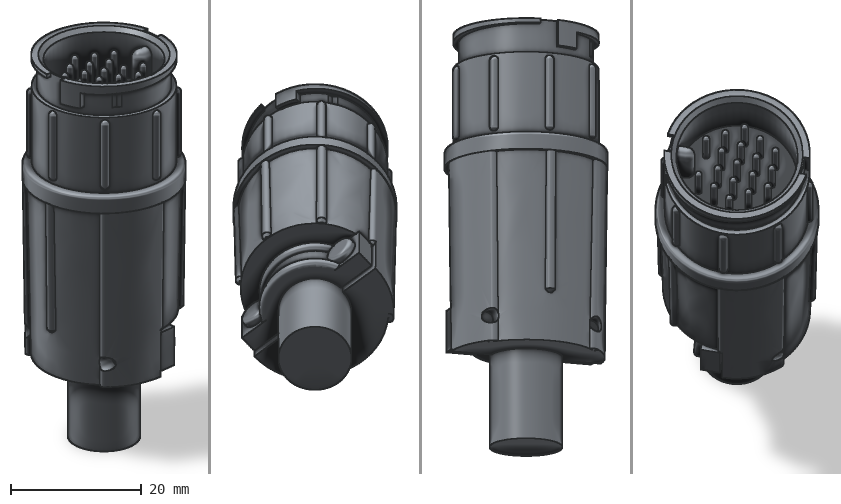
import cadquery as cq
import math

front_shell_bottom = 14.15
back_shell_bottom = 21.7
collar_bottom = 44.0
collar_top = 46.8
sleeve_top = 59.65
total_height = 65.0

cable_radius = 5.6
collar_radius = 12.55
collar_edge_round = 0.5
sleeve_radius = 11.1
neck_radius = 10.3
flange_radius = 11.2

rib_count = 8
rib_pitch = 360 / rib_count
sleeve_rib_radius = 0.7
sleeve_rib_bottom = 47.4
sleeve_rib_top = 59.25
grip_rib_radius = 0.8
grip_rib_end_chamfer = 0.5

base_radius_top = 11.8
base_radius_bottom = 11.25
raised_radius_top = 12.5
raised_radius_bottom = 12.1

flange_depth_thin = 0.65
flange_depth_thick = 1.5
gap_half_width = 1.4
stop_width = 3.3
stop_bottom = 60.95
detent_depth = 0.2
detent_start_angle = -38.7
detent_deep_angle = -34.8
detent_end_angle = -30.5

socket_radius = 9.3
lead_in_width = 0.8
lead_in_depth = 0.7
socket_floor = 56.7
pin_radius = 0.5
pin_pitch = 3.1
pin_row_pitch = pin_pitch * math.sin(math.radians(60))
pin_tip = 62.7
key_radius = 1.25
key_center = 7.85
key_tip = 63.1

clamp_bottom = 14.8
clamp_top = 21.4
clamp_radius = 7.65
clamp_half_width = 11.7
clamp_ear_start = 0.45
clamp_ear_end = 3.45
clamp_lip_radius = 0.85
screw_spacing = 17.0
screw_hole_radius = 1.2
screw_hole_floor = -5.85
screw_head_radius = 2.4
screw_head_height = 1.3
screw_head_round = 0.65
screw_height = (clamp_bottom + clamp_top) / 2

far = 32.5


def cylinder(radius, bottom, top):
    return cq.Workplane("XY").workplane(offset=bottom).circle(radius).extrude(top - bottom)


def domed_bar(radius, bottom, tip):
    """Upright round bar with a hemispherical top."""
    shoulder = tip - radius
    dome = cq.Workplane("XY").sphere(radius).translate((0, 0, shoulder))
    return cylinder(radius, bottom, shoulder).union(dome)


def box(x_start, x_end, y_start, y_end, bottom, top):
    size = (x_end - x_start, y_end - y_start, top - bottom)
    return cq.Workplane("XY").box(*size, centered=False).translate((x_start, y_start, bottom))


def at_angle(shape, angle):
    return shape.rotate((0, 0, 0), (0, 0, 1), angle)


def polar(radius, angle):
    return (radius * math.cos(math.radians(angle)), radius * math.sin(math.radians(angle)))


def shell_height_fraction(height):
    return (height - front_shell_bottom) / (collar_bottom - front_shell_bottom)


def raised_radius(height):
    return raised_radius_bottom + (raised_radius_top - raised_radius_bottom) * shell_height_fraction(height)


def tapered_body(bottom_radius, top_radius):
    height = collar_bottom - front_shell_bottom
    cone = cq.Solid.makeCone(bottom_radius, top_radius, height, cq.Vector(0, 0, front_shell_bottom))
    return cq.Workplane(cone)


def raised_sector(start_angle):
    """Raised surface spanning one rib pitch from the start angle."""
    corners = [(0, 0), polar(far, start_angle), polar(far, start_angle + rib_pitch)]
    wedge = cq.Workplane("XY").polyline(corners).close().extrude(total_height)
    return tapered_body(raised_radius_bottom, raised_radius_top).intersect(wedge)


def grip_rib(angle, bottom):
    """Round rib leaning with the shell taper, its crest level with the raised surface."""
    foot = cq.Vector(raised_radius(bottom) - grip_rib_radius, 0, bottom)
    head = cq.Vector(raised_radius(collar_bottom) - grip_rib_radius, 0, collar_bottom)
    rib = cq.Solid.makeCylinder(grip_rib_radius, (head - foot).Length, foot, head - foot)
    rib = cq.Workplane(rib)
    if bottom == back_shell_bottom:
        rib = rib.faces("<Z").chamfer(grip_rib_end_chamfer)
    return at_angle(rib, angle)


def grip():
    base = tapered_body(base_radius_bottom, base_radius_top)
    back_cut = box(-far, far, 0, far, front_shell_bottom, back_shell_bottom)
    body = base.cut(back_cut)
    for start_angle in (180, 360 - rib_pitch):
        body = body.union(raised_sector(start_angle))
    for index in range(rib_count):
        angle = index * rib_pitch
        body = body.union(grip_rib(angle, back_shell_bottom))
    for angle in (180 + rib_pitch, 360 - rib_pitch):
        body = body.union(grip_rib(angle, front_shell_bottom))
    for x in (-screw_spacing / 2, screw_spacing / 2):
        hole = cq.Solid.makeCylinder(
            screw_hole_radius, far, cq.Vector(x, screw_hole_floor, screw_height), cq.Vector(0, -1, 0)
        )
        body = body.cut(cq.Workplane(hole))
    return body


def sleeve():
    body = cylinder(sleeve_radius, collar_top, sleeve_top)
    foot = sleeve_rib_bottom + sleeve_rib_radius
    rib = domed_bar(sleeve_rib_radius, foot, sleeve_rib_top)
    rib = rib.union(cq.Workplane("XY").sphere(sleeve_rib_radius).translate((0, 0, foot)))
    for index in range(rib_count):
        body = body.union(at_angle(rib.translate((sleeve_radius, 0, 0)), index * rib_pitch))
    return body


def half_flange():
    """The -X half of the bayonet flange with the stop block that ends its ramp."""
    ramp = (
        cq.Workplane("YZ")
        .polyline([
            (-flange_radius, total_height),
            (flange_radius, total_height),
            (flange_radius, total_height - flange_depth_thick),
            (-flange_radius, total_height - flange_depth_thin),
        ])
        .close()
        .extrude(-flange_radius)
    )
    stop = box(-gap_half_width - stop_width, 0, 0, flange_radius, stop_bottom, total_height)
    gaps = box(-gap_half_width, 0, -far, far, stop_bottom, total_height)
    return ramp.union(stop).cut(gaps).intersect(cylinder(flange_radius, stop_bottom, total_height))


def detent():
    """Shallow V groove in the neck, below the ramp."""
    corners = [
        polar(neck_radius, detent_start_angle),
        polar(neck_radius - detent_depth, detent_deep_angle),
        polar(neck_radius, detent_end_angle),
        polar(flange_radius, detent_deep_angle),
    ]
    height = total_height - flange_depth_thick - stop_bottom
    return cq.Workplane("XY").workplane(offset=stop_bottom).polyline(corners).close().extrude(height)


def nose():
    body = cylinder(neck_radius, sleeve_top, total_height)
    for angle in (0, 180):
        body = body.cut(at_angle(detent(), angle))
        body = body.union(at_angle(half_flange(), angle))
    return body


def socket():
    lead_in = cq.Solid.makeCone(
        socket_radius,
        socket_radius + lead_in_width,
        lead_in_depth,
        cq.Vector(0, 0, total_height - lead_in_depth),
    )
    return cylinder(socket_radius, socket_floor, total_height).union(cq.Workplane(lead_in))


def contacts():
    """Nineteen-position hexagonal pattern; the key takes the place of the middle pin in the top row."""
    pins = cq.Workplane("XY")
    pin = domed_bar(pin_radius, socket_floor, pin_tip)
    for row in range(-2, 3):
        row_length = 5 - abs(row)
        for column in range(row_length):
            x = (column - (row_length - 1) / 2) * pin_pitch
            if row == 2 and x == 0:
                continue
            pins = pins.union(pin.translate((x, row * pin_row_pitch, 0)))
    return pins


def key():
    """Round-nosed key reaching in from the socket wall, with a rounded top."""
    shoulder = key_tip - key_radius
    reach = neck_radius - key_center
    post = domed_bar(key_radius, socket_floor, key_tip).translate((0, key_center, 0))
    web = box(-key_radius, key_radius, key_center, neck_radius, socket_floor, shoulder)
    crown = cq.Solid.makeCylinder(
        key_radius, reach, cq.Vector(0, key_center, shoulder), cq.Vector(0, 1, 0)
    )
    inside = cylinder(neck_radius, socket_floor, total_height)
    return post.union(web).union(cq.Workplane(crown)).intersect(inside)


def clamp():
    saddle = cylinder(clamp_radius, clamp_bottom, clamp_top)
    for height in (clamp_bottom + clamp_lip_radius, clamp_top - clamp_lip_radius):
        lip = cq.Solid.makeTorus(clamp_radius, clamp_lip_radius, cq.Vector(0, 0, height))
        saddle = saddle.union(cq.Workplane(lip))
    back_side = box(-far, far, clamp_ear_start, far, clamp_bottom, clamp_top)
    saddle = saddle.intersect(back_side)
    ears = box(
        -clamp_half_width, clamp_half_width, clamp_ear_start, clamp_ear_end, clamp_bottom, clamp_top
    )
    body = saddle.union(ears)
    for x in (-screw_spacing / 2, screw_spacing / 2):
        head = cq.Solid.makeCylinder(
            screw_head_radius,
            screw_head_height,
            cq.Vector(x, clamp_ear_end, screw_height),
            cq.Vector(0, 1, 0),
        )
        body = body.union(cq.Workplane(head).faces(">Y").edges().fillet(screw_head_round))
    return body


collar = cylinder(collar_radius, collar_bottom, collar_top).faces(">Z").edges().fillet(collar_edge_round)
cable = cylinder(cable_radius, 0, collar_bottom)

result = (
    cable.union(grip())
    .union(clamp())
    .union(collar)
    .union(sleeve())
    .union(nose())
    .cut(socket())
    .union(contacts())
    .union(key())
)